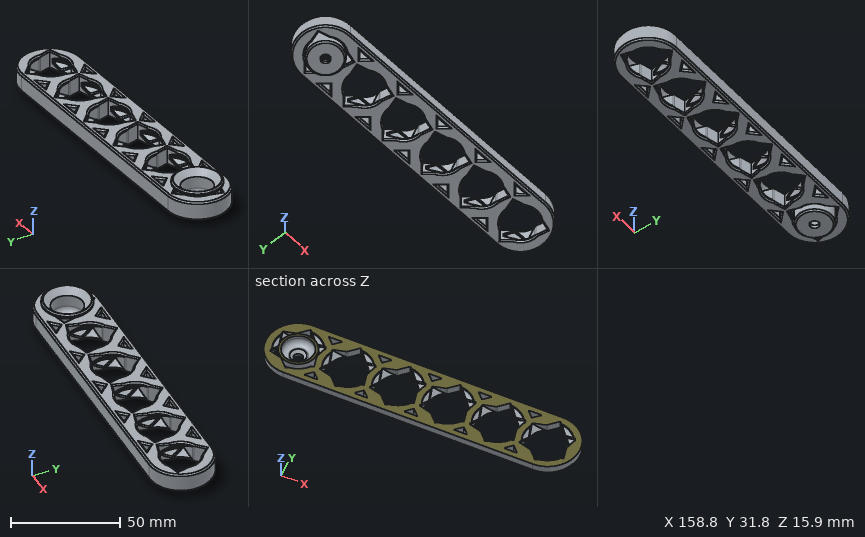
import cadquery as cq
import math

PITCH = 25.4
SOCKET_COUNT = 6
PLATE_WIDTH = 31.8
PLATE_THICKNESS = 9.5
PLATE_MIDDLE = PLATE_THICKNESS / 2
EDGE_CHAMFER = 0.8
ROW_LENGTH = (SOCKET_COUNT - 1) * PITCH

SOCKET_RADIUS = 9.5
POINT_COUNT = 3
POINT_REACH = 12.9
POINT_CHAMFER = 0.6
FIRST_POINT_ANGLE = 90
TURN_ANGLE = 60
POCKET_RADIUS = 12.5
GROOVE_LAND = 0.8
DETENT_STEP = 0.6
PATH_RADIUS = POCKET_RADIUS - DETENT_STEP
SEAM_CHAMFER = 0.5

WINDOW_BASE_Y = 12.7
WINDOW_DEPTH = 3.2

HUB_RADIUS = 18.7 / 2
FLANGE_RADIUS = 24.1 / 2
BORE_RADIUS = 15.5 / 2
SCREW_RADIUS = 4.8 / 2
HUB_BOTTOM = -3.2
HUB_TOP = 12.7
HUB_CHAMFER = 0.8
FLANGE_LAND = 0.6
DISH_RADIUS = 11.1
BORE_FLOOR = 0.3
BORE_FILLET = 3.2
COUNTERSINK_RADIUS = 4.0


def turned(body, angle):
    """The body rotated about the Z axis."""
    return body.rotate((0, 0, 0), (0, 0, 1), angle)


def revolved(profile):
    """A closed radius-height profile revolved about the Z axis."""
    return profile.close().revolve(360, (0, 0, 0), (0, 1, 0))


def flared_prism(outline, chamfer):
    """Cutter through the plate that widens at 45 degrees towards both faces."""
    flare = outline(chamfer).extrude(chamfer, taper=45)
    top_flare = flare.mirror("XY").translate((0, 0, PLATE_THICKNESS))
    return outline(0).extrude(PLATE_THICKNESS).union(flare).union(top_flare)


def round_outline(grow):
    return cq.Workplane("XY").circle(SOCKET_RADIUS + grow)


def point_outline(grow):
    """Square with one corner on the socket axis and the opposite one pointing along +Y."""
    reach = POINT_REACH + grow * math.sqrt(2)
    corners = [(0, 0), (reach / 2, reach / 2), (0, reach), (-reach / 2, reach / 2)]
    return cq.Workplane("XY").polyline(corners).close()


def window_outline(grow):
    """Right-angled triangle with its base along X and its tip towards the plate's centre line."""
    base_y = WINDOW_BASE_Y + grow
    tip_y = WINDOW_BASE_Y - WINDOW_DEPTH - grow * math.sqrt(2)
    half_base = base_y - tip_y
    return cq.Workplane("XY").polyline([(-half_base, base_y), (half_base, base_y), (0, tip_y)]).close()


def groove_root(radius):
    """Half height that the groove's 45 degree walls would have on the socket axis."""
    return GROOVE_LAND / 2 + radius


def groove_ring(radius):
    """Double cone with a narrow land, whose rim forms the V-shaped groove."""
    root = groove_root(radius)
    return revolved(
        cq.Workplane("XZ").polyline([
            (0, PLATE_MIDDLE - root),
            (radius, PLATE_MIDDLE - GROOVE_LAND / 2),
            (radius, PLATE_MIDDLE + GROOVE_LAND / 2),
            (0, PLATE_MIDDLE + root),
        ])
    )


def turn_sector():
    """Wedge of the plate swept by a point as it turns from its entry to its pocket."""
    start = math.radians(FIRST_POINT_ANGLE - TURN_ANGLE)
    end = math.radians(FIRST_POINT_ANGLE)
    corners = [(0, 0)]
    for angle in (start, (start + end) / 2, end):
        corners.append((PITCH * math.cos(angle), PITCH * math.sin(angle)))
    return cq.Workplane("XY").polyline(corners).close().extrude(PLATE_THICKNESS)


def is_path_seam(edge):
    """True for the curved edges where the shallower turning path meets its entry or its pocket."""
    point = edge.positionAt(0.5)
    root = math.hypot(point.x, point.y) + abs(point.z - PLATE_MIDDLE)
    return edge.geomType() == "HYPERBOLA" and math.isclose(root, groove_root(PATH_RADIUS), abs_tol=0.0002)


def bayonet_cutter():
    """Entry, turning path and locking pocket of one point, with the path's seams chamfered."""
    entry = point_outline(0).extrude(PLATE_THICKNESS)
    pocket = turned(entry, -TURN_ANGLE).intersect(groove_ring(POCKET_RADIUS))
    path = turn_sector().intersect(groove_ring(PATH_RADIUS))
    cutter = entry.union(path).union(pocket)
    seams = [edge for edge in cutter.edges().vals() if is_path_seam(edge)]
    return cutter.newObject(seams).chamfer(SEAM_CHAMFER)


def socket_cutter():
    cutter = flared_prism(round_outline, EDGE_CHAMFER)
    point = flared_prism(point_outline, POINT_CHAMFER)
    bayonet = bayonet_cutter()
    for index in range(POINT_COUNT):
        angle = index * 360 / POINT_COUNT
        cutter = cutter.union(turned(point, angle)).union(turned(bayonet, angle))
    return cutter


def window_pair_cutter():
    window = flared_prism(window_outline, EDGE_CHAMFER)
    return window.union(window.mirror("XZ"))


def make_plate():
    plate = (
        cq.Workplane("XY")
        .center(ROW_LENGTH / 2, 0)
        .slot2D(ROW_LENGTH + PLATE_WIDTH, PLATE_WIDTH)
        .extrude(PLATE_THICKNESS)
        .faces("<Z or >Z")
        .chamfer(EDGE_CHAMFER)
    )
    socket = socket_cutter()
    for index in range(SOCKET_COUNT):
        plate = plate.cut(socket.translate((index * PITCH, 0, 0)))
    windows = window_pair_cutter()
    for index in range(SOCKET_COUNT - 1):
        plate = plate.cut(windows.translate(((index + 0.5) * PITCH, 0, 0)))
    return plate


def make_hub():
    """Turned hub: a stem with a conical flange, a dished bore and a countersunk screw hole."""
    land_bottom = HUB_TOP - HUB_CHAMFER - FLANGE_LAND
    stem_top = land_bottom - (FLANGE_RADIUS - HUB_RADIUS)
    dish_bottom = HUB_TOP - (DISH_RADIUS - BORE_RADIUS)
    countersink_bottom = BORE_FLOOR - (COUNTERSINK_RADIUS - SCREW_RADIUS)
    fillet_inset = BORE_FILLET * (1 - math.sqrt(0.5))
    return revolved(
        cq.Workplane("XZ")
        .moveTo(SCREW_RADIUS, HUB_BOTTOM)
        .lineTo(HUB_RADIUS - HUB_CHAMFER, HUB_BOTTOM)
        .lineTo(HUB_RADIUS, HUB_BOTTOM + HUB_CHAMFER)
        .lineTo(HUB_RADIUS, stem_top)
        .lineTo(FLANGE_RADIUS, land_bottom)
        .lineTo(FLANGE_RADIUS, HUB_TOP - HUB_CHAMFER)
        .lineTo(FLANGE_RADIUS - HUB_CHAMFER, HUB_TOP)
        .lineTo(DISH_RADIUS, HUB_TOP)
        .lineTo(BORE_RADIUS, dish_bottom)
        .lineTo(BORE_RADIUS, BORE_FLOOR + BORE_FILLET)
        .threePointArc(
            (BORE_RADIUS - fillet_inset, BORE_FLOOR + fillet_inset),
            (BORE_RADIUS - BORE_FILLET, BORE_FLOOR),
        )
        .lineTo(COUNTERSINK_RADIUS, BORE_FLOOR)
        .lineTo(SCREW_RADIUS, countersink_bottom)
    )


plate = make_plate()
hub = make_hub()
result = cq.Compound.makeCompound([plate.val(), hub.val()])